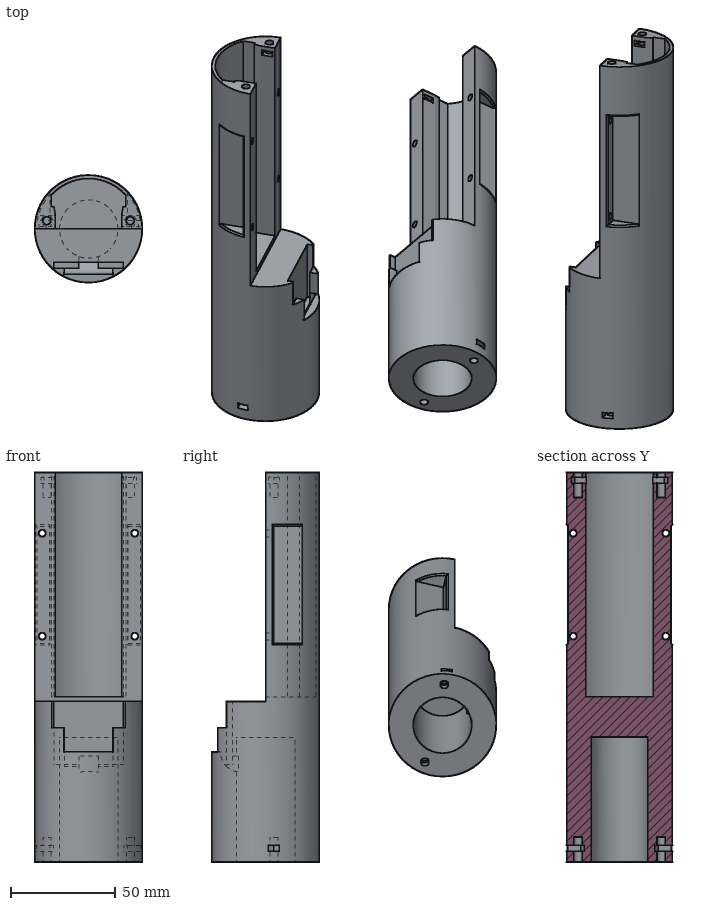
import cadquery as cq
import math

body_diameter = 51.65
body_length = 186.96
body_radius = body_diameter / 2

shelf_z = 77.1
parting_y = 0.0

bay_floor_z = 79.4
bay_mouth_width = 32.1
bay_wide_width = 35.5
bay_step_y = 10.5
bay_flare_y = 7.4
bay_flare = 0.5
bay_radius = 24.1

cover_hole_diameter = 3.2
cover_hole_x = 22.2
cover_hole_heights = (108.4, 157.8)

joint_hole_diameter = 3.82
joint_hole_x = 20.0
joint_hole_y = 3.9
joint_hole_depth = 12.0
nut_slot_width = 5.2
nut_slot_height = 2.7
lower_nut_z = 6.7
upper_nut_z = body_length - 3.8
nut_slot_reach = body_radius - joint_hole_x

window_y_min = 4.0
window_y_max = 16.9
window_z_min = 105.0
window_z_max = 161.2
window_floor_x = 18.6
window_bevel = 0.8

board_back_y = -16.0
board_front_y = -18.8
board_width = 33.2
board_floor_z = 47.0
front_step_z = 64.5
plug_width = 23.2
plug_mouth_width = 23.8
plug_ledge_z = 52.9

ramp_radius = 9.5
ramp_front_y = -21.7
wire_port_width = 9.4
wire_port_top_z = 51.0

bore_diameter = 28.0
bore_depth = 60.0


def box(x_min, x_max, y_min, y_max, z_min, z_max):
    """Axis-aligned block given by its limits."""
    size = (x_max - x_min, y_max - y_min, z_max - z_min)
    return cq.Workplane("XY").box(*size, centered=False).translate((x_min, y_min, z_min))


def centred_box(width, y_min, y_max, z_min, z_max):
    """Block symmetric about the YZ plane."""
    return box(-width / 2, width / 2, y_min, y_max, z_min, z_max)


def both_sides(shape):
    """The +X shape together with its mirror image on the -X side."""
    return shape.union(shape.mirror("YZ"))


def make_body():
    tube = cq.Workplane("XY").circle(body_radius).extrude(body_length)
    front_half = centred_box(body_diameter, -body_radius, parting_y, shelf_z, body_length)
    return tube.cut(front_half)


def make_bay():
    mouth_x = bay_mouth_width / 2
    wide_x = bay_wide_width / 2
    corner_y = math.sqrt(bay_radius**2 - wide_x**2)
    return (
        cq.Workplane("XY")
        .workplane(offset=bay_floor_z)
        .moveTo(-mouth_x, parting_y)
        .lineTo(mouth_x, parting_y)
        .lineTo(mouth_x, bay_flare_y)
        .lineTo(mouth_x + bay_flare, bay_step_y)
        .lineTo(wide_x, bay_step_y)
        .lineTo(wide_x, corner_y)
        .threePointArc((0, bay_radius), (-wide_x, corner_y))
        .lineTo(-wide_x, bay_step_y)
        .lineTo(-mouth_x - bay_flare, bay_step_y)
        .lineTo(-mouth_x, bay_flare_y)
        .close()
        .extrude(body_length - bay_floor_z)
    )


def make_cover_holes():
    centres = [(side * cover_hole_x, z) for side in (-1, 1) for z in cover_hole_heights]
    return (
        cq.Workplane("XZ", origin=(0, parting_y, 0))
        .pushPoints(centres)
        .circle(cover_hole_diameter / 2)
        .extrude(-body_radius)
    )


def make_joint_holes():
    centres = [(side * joint_hole_x, joint_hole_y) for side in (-1, 1)]
    lower = cq.Workplane("XY").pushPoints(centres).circle(joint_hole_diameter / 2).extrude(joint_hole_depth)
    return lower.union(lower.translate((0, 0, body_length - joint_hole_depth)))


def nut_slot(z_centre, open_direction):
    """Hexagonal nut seat around the joint hole, widened along X to its open side."""
    z_min = z_centre - nut_slot_height / 2
    seat = (
        cq.Workplane("XY", origin=(joint_hole_x, joint_hole_y, z_min))
        .polygon(6, nut_slot_width / math.cos(math.radians(30)))
        .extrude(nut_slot_height)
    )
    entry_x_limits = sorted((joint_hole_x, joint_hole_x + open_direction * nut_slot_reach))
    entry = box(
        *entry_x_limits,
        joint_hole_y - nut_slot_width / 2,
        joint_hole_y + nut_slot_width / 2,
        z_min,
        z_min + nut_slot_height,
    )
    return both_sides(seat.union(entry))


def make_nut_slots():
    """Lower slots open through the outer wall, upper slots open into the bay."""
    lower = nut_slot(lower_nut_z, 1)
    upper = nut_slot(upper_nut_z, -1)
    return lower.union(upper)


def make_windows():
    """Pockets whose rims are bevelled along the curved outer surface."""
    bevel_radius = body_radius - window_bevel
    rim_y_min = window_y_min - window_bevel
    rim_y_max = window_y_max + window_bevel
    plan = (
        cq.Workplane("XY")
        .moveTo(window_floor_x, window_y_max)
        .lineTo(window_floor_x, window_y_min)
        .lineTo(math.sqrt(bevel_radius**2 - window_y_min**2), window_y_min)
        .lineTo(math.sqrt(body_radius**2 - rim_y_min**2), rim_y_min)
        .lineTo(body_radius, rim_y_min)
        .lineTo(body_radius, rim_y_max)
        .lineTo(math.sqrt(body_radius**2 - rim_y_max**2), rim_y_max)
        .close()
        .extrude(body_length)
    )
    overshoot = 2 * window_bevel
    height_limits = (
        cq.Workplane("XZ")
        .moveTo(0, window_z_min)
        .lineTo(bevel_radius, window_z_min)
        .lineTo(bevel_radius + overshoot, window_z_min - overshoot)
        .lineTo(bevel_radius + overshoot, window_z_max + overshoot)
        .lineTo(bevel_radius, window_z_max)
        .lineTo(0, window_z_max)
        .close()
        .revolve(360, (0, 0, 0), (0, 1, 0))
    )
    return both_sides(plan.intersect(height_limits))


def make_board_recess():
    plug_mouth_y = -math.sqrt(body_radius**2 - (plug_mouth_width / 2) ** 2)
    slot = centred_box(board_width, board_front_y, board_back_y, board_floor_z, shelf_z)
    wide_opening = centred_box(body_diameter, -body_radius, board_front_y, front_step_z, shelf_z)
    plug_opening = (
        cq.Workplane("XY", origin=(0, 0, plug_ledge_z))
        .moveTo(-plug_width / 2, board_front_y)
        .lineTo(plug_width / 2, board_front_y)
        .lineTo(plug_mouth_width / 2, plug_mouth_y)
        .lineTo(plug_mouth_width / 2, -body_radius)
        .lineTo(-plug_mouth_width / 2, -body_radius)
        .lineTo(-plug_mouth_width / 2, plug_mouth_y)
        .close()
        .extrude(front_step_z - plug_ledge_z)
    )
    return slot.union(wide_opening).union(plug_opening)


def ramp_prism(width):
    """Quarter-round trough that drops from the ledge and levels out toward the bore."""
    axis_y = ramp_front_y + ramp_radius
    reach = ramp_radius * math.sqrt(0.5)
    return (
        cq.Workplane("YZ", origin=(-width / 2, 0, 0))
        .moveTo(ramp_front_y, plug_ledge_z)
        .threePointArc(
            (axis_y - reach, plug_ledge_z - reach),
            (axis_y, plug_ledge_z - ramp_radius),
        )
        .lineTo(axis_y, plug_ledge_z)
        .close()
        .extrude(width)
    )


def make_wire_channel():
    front_keep = centred_box(plug_width, ramp_front_y, board_front_y, 0, plug_ledge_z)
    port_keep = centred_box(wire_port_width, board_front_y, 0, 0, wire_port_top_z)
    front_part = ramp_prism(plug_width).intersect(front_keep)
    port_part = ramp_prism(wire_port_width).intersect(port_keep)
    return front_part.union(port_part)


def make_bore():
    return cq.Workplane("XY").circle(bore_diameter / 2).extrude(bore_depth)


result = make_body()
for cutter in (
    make_bay(),
    make_cover_holes(),
    make_joint_holes(),
    make_nut_slots(),
    make_windows(),
    make_board_recess(),
    make_wire_channel(),
    make_bore(),
):
    result = result.cut(cutter)